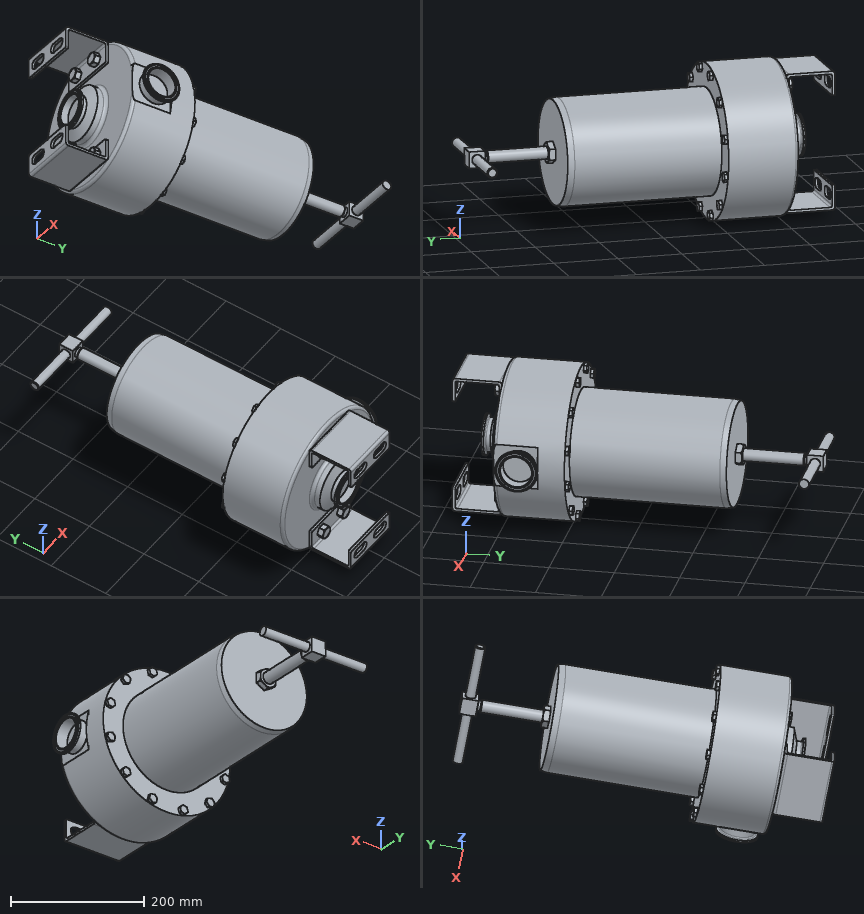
import cadquery as cq
import math


overall_length = 560.5
overall_width = 257.0

housing_diameter = 240.5
housing_radius = housing_diameter / 2
body_length = 68.5
housing_length = 110.0
body_edge_radius = 5.0
flat_x = 115.5

tube_diameter = 165.5
tube_radius = tube_diameter / 2
tube_end = 350.0
cap_taper_length = 10.0
cap_end_radius = 81.0

flange_bolt_count = 12
flange_bolt_circle_radius = 112.0
flange_bolt_across_flats = 13.5
flange_bolt_head_height = 5.0

nut_across_flats = 29.0
nut_height = 10.0
screw_diameter = 19.5
screw_radius = screw_diameter / 2
screw_end = 454.5
screw_edge_chamfer = 1.5
neck_radius = 8.0
block_width = 26.0
block_length = 25.0
handle_bar_radius = 8.0
handle_bar_length = 191.5
handle_bar_chamfer = 1.0

bracket_reach = 76.0
handle_end = overall_length - bracket_reach
bracket_width = 101.0
bracket_outer_z = 107.5
bracket_leg = 38.0
sheet_thickness = 4.5
bend_inner_radius = 3.5
bend_outer_radius = 4.5
leg_corner_radius = 2.0
slot_length = 32.0
slot_height = 16.0
slot_spacing = 51.0
slot_z = 86.5
mount_bolt_across_flats = 19.0
mount_bolt_head_height = 10.0

hex_chamfer = 1.5

pipe_radius = 26.5
bore_radius = 24.0
lip_radius = 32.0
lip_edge_thickness = 3.5
lip_root_thickness = 4.5
lip_root_fillet = 1.5
groove_circle_radius = 28.0
groove_radius = 1.5

front_port_reach = 36.0
boss_radius = 45.5
boss_flare_radius = 5.5
boss_length = 15.5
boss_shoulder_end = 23.0

side_port_y = 39.0
side_port_end = overall_width - housing_radius


def along_y(y):
    """Workplane at the given Y whose extrusions run towards +Y, with local x = X and local y = -Z."""
    return cq.Workplane(cq.Plane(origin=(0, y, 0), xDir=(1, 0, 0), normal=(0, 1, 0)))


def across_corners(across_flats):
    return across_flats / math.cos(math.radians(30))


def hex_prism(across_flats, y, height):
    """Hexagonal prism along +Y with two corners on the X axis."""
    return along_y(y).polygon(6, across_corners(across_flats)).extrude(height)


def chamfered_hex_prism(across_flats, y, height, chamfered_end):
    """Hexagonal prism along +Y with its corners turned off at one end."""
    envelope = along_y(y).circle(across_corners(across_flats) / 2).extrude(height)
    envelope = envelope.faces(chamfered_end).chamfer(hex_chamfer)
    return hex_prism(across_flats, y, height).intersect(envelope)


def make_housing():
    body = along_y(0).circle(housing_radius).extrude(body_length)
    body = body.faces("<Y").edges().fillet(body_edge_radius)
    beyond_flat = cq.Workplane("XY").box(
        housing_radius, body_length, 2 * housing_radius, centered=(False, False, True)
    )
    body = body.cut(beyond_flat.translate((flat_x, 0, 0)))
    flange = along_y(body_length).circle(housing_radius).extrude(housing_length - body_length)
    return body.union(flange)


def make_tube():
    profile = cq.Workplane("XY").polyline([
        (0, housing_length),
        (tube_radius, housing_length),
        (tube_radius, tube_end - cap_taper_length),
        (cap_end_radius, tube_end),
        (0, tube_end),
    ]).close()
    return profile.revolve(360, (0, 0, 0), (0, 1, 0))


def make_flange_bolts():
    head = hex_prism(flange_bolt_across_flats, housing_length, flange_bolt_head_height)
    head = head.translate((flange_bolt_circle_radius, 0, 0))
    pitch = 360 / flange_bolt_count
    heads = cq.Workplane("XY")
    for i in range(flange_bolt_count):
        heads = heads.add(head.rotate((0, 0, 0), (0, 1, 0), (i + 0.5) * pitch))
    return heads.combine()


def make_handle():
    nut = chamfered_hex_prism(nut_across_flats, tube_end, nut_height, ">Y")
    nut = nut.rotate((0, 0, 0), (0, 1, 0), 90)
    screw = along_y(tube_end).circle(screw_radius).extrude(screw_end - tube_end)
    screw = screw.faces(">Y").chamfer(screw_edge_chamfer)
    block_start = handle_end - block_length
    neck = along_y(screw_end).circle(neck_radius).extrude(block_start - screw_end)
    block = along_y(block_start).rect(block_width, block_width).extrude(block_length)
    bar_y = handle_end - block_length / 2
    bar = cq.Workplane("YZ").circle(handle_bar_radius).extrude(handle_bar_length / 2, both=True)
    bar = bar.faces("<X").chamfer(handle_bar_chamfer).translate((0, bar_y, 0))
    return nut.union(screw).union(neck).union(block).union(bar)


def make_upper_bracket():
    leg_end = bracket_outer_z - bracket_leg
    outer = (
        cq.Workplane("XY")
        .box(bracket_width, bracket_reach, bracket_leg, centered=(True, False, False))
        .translate((0, -bracket_reach, leg_end))
        .edges("|X and >Z")
        .fillet(bend_outer_radius)
    )
    hollow = (
        cq.Workplane("XY")
        .box(
            bracket_width,
            bracket_reach - 2 * sheet_thickness,
            bracket_leg - sheet_thickness,
            centered=(True, False, False),
        )
        .translate((0, sheet_thickness - bracket_reach, leg_end))
        .edges("|X and >Z")
        .fillet(bend_inner_radius)
    )
    outer = outer.edges("|Y and <Z").fillet(leg_corner_radius)
    slots = (
        along_y(-bracket_reach)
        .pushPoints([(-slot_spacing / 2, -slot_z), (slot_spacing / 2, -slot_z)])
        .slot2D(slot_length, slot_height)
        .extrude(sheet_thickness)
    )
    bracket = outer.cut(hollow).cut(slots)
    head_y = -sheet_thickness - mount_bolt_head_height
    head = chamfered_hex_prism(mount_bolt_across_flats, head_y, mount_bolt_head_height, "<Y")
    for side in (-1, 1):
        bracket = bracket.union(head.translate((side * slot_spacing / 2, 0, slot_z)))
    return bracket


def make_ferrule(pipe_length):
    """Ferrule pointing towards -Y, its pipe starting at Y = 0 and its bore as deep as the pipe."""
    lip_root = lip_root_thickness - pipe_length
    fillet_mid = lip_root_fillet * (1 - math.sqrt(0.5))
    profile = (
        cq.Workplane("XY")
        .moveTo(bore_radius, 0)
        .lineTo(pipe_radius, 0)
        .lineTo(pipe_radius, lip_root + lip_root_fillet)
        .threePointArc(
            (pipe_radius + fillet_mid, lip_root + fillet_mid),
            (pipe_radius + lip_root_fillet, lip_root),
        )
        .lineTo(lip_radius, lip_edge_thickness - pipe_length)
        .lineTo(lip_radius, -pipe_length)
        .lineTo(groove_circle_radius + groove_radius, -pipe_length)
        .threePointArc(
            (groove_circle_radius, groove_radius - pipe_length),
            (groove_circle_radius - groove_radius, -pipe_length),
        )
        .lineTo(bore_radius, -pipe_length)
        .close()
    )
    return profile.revolve(360, (0, 0, 0), (0, 1, 0))


def make_front_port():
    flare_mid = boss_flare_radius * (1 - math.sqrt(0.5))
    profile = (
        cq.Workplane("XY")
        .moveTo(0, 0)
        .lineTo(boss_radius + boss_flare_radius, 0)
        .threePointArc(
            (boss_radius + flare_mid, -flare_mid),
            (boss_radius, -boss_flare_radius),
        )
        .lineTo(boss_radius, -boss_length)
        .lineTo(pipe_radius, -boss_shoulder_end)
        .lineTo(0, -boss_shoulder_end)
        .close()
    )
    boss = profile.revolve(360, (0, 0, 0), (0, 1, 0))
    ferrule = make_ferrule(front_port_reach - boss_shoulder_end)
    return boss.union(ferrule.translate((0, -boss_shoulder_end, 0)))


def make_side_port():
    ferrule = make_ferrule(side_port_end - flat_x)
    return ferrule.rotate((0, 0, 0), (0, 0, 1), 90).translate((flat_x, side_port_y, 0))


upper_bracket = make_upper_bracket()
result = (
    make_housing()
    .union(make_tube())
    .union(make_flange_bolts())
    .union(make_handle())
    .union(upper_bracket)
    .union(upper_bracket.mirror("XY"))
    .union(make_front_port())
    .union(make_side_port())
)